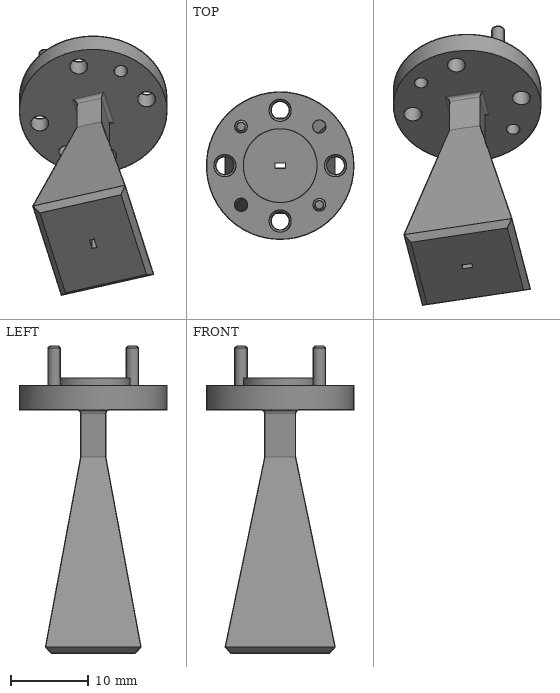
import cadquery as cq

total_height = 39.7
flange_top = 34.6
flange_thickness = 3.18
flange_bottom = flange_top - flange_thickness
neck_bottom = 25.33
bevel_height = 0.85

flange_diameter = 19.05
boss_diameter = 9.53
boss_height = 0.95

bolt_circle_radius = 7.15
screw_hole_diameter = 2.3
screw_hole_chamfer = 0.28
pin_diameter = 1.63
pin_chamfer = 0.28
pin_hole_diameter = 1.7
screw_angles = (0, 90, 180, 270)
pin_angles = (135, 315)
pin_hole_angles = (45, 225)

neck_x = 4.0
neck_y = 3.25
neck_fillet = 0.48
horn_x = 14.2
horn_y = 12.35
bevel_inset = 0.75
waveguide_x = 1.3
waveguide_y = 0.65


def bolt_circle(plane_z, angle):
    """Workplane at the given height, centred on the bolt circle at an angle."""
    return (
        cq.Workplane("XY")
        .workplane(offset=plane_z)
        .polarArray(bolt_circle_radius, angle, 360, 1)
    )


def tapered_block(bottom_z, bottom_size, top_z, top_size):
    """Rectangular frustum between two heights."""
    return (
        cq.Workplane("XY")
        .workplane(offset=bottom_z)
        .rect(*bottom_size)
        .workplane(offset=top_z - bottom_z)
        .rect(*top_size)
        .loft(ruled=True)
    )


def make_flange():
    """Round flange with its boss and a fillet where the neck meets it."""
    flange = (
        cq.Workplane("XY")
        .workplane(offset=flange_bottom)
        .circle(flange_diameter / 2)
        .extrude(flange_thickness)
    )
    boss = (
        cq.Workplane("XY")
        .workplane(offset=flange_top)
        .circle(boss_diameter / 2)
        .extrude(boss_height)
    )
    neck = (
        cq.Workplane("XY")
        .workplane(offset=neck_bottom)
        .rect(neck_x, neck_y)
        .extrude(flange_bottom - neck_bottom)
    )
    root_edges = cq.selectors.BoxSelector(
        (-neck_x, -neck_y, flange_bottom - neck_fillet / 2),
        (neck_x, neck_y, flange_bottom + neck_fillet / 2),
    )
    filleted = flange.union(neck).edges("%LINE").edges(root_edges).fillet(neck_fillet)
    return filleted.union(boss)


def make_horn():
    """Flared pyramid with a bevelled rim."""
    rim_size = (horn_x - 2 * bevel_inset, horn_y - 2 * bevel_inset)
    widest_size = (horn_x, horn_y)
    flare = tapered_block(bevel_height, widest_size, neck_bottom, (neck_x, neck_y))
    bevel = tapered_block(0, rim_size, bevel_height, widest_size)
    return flare.union(bevel)


def make_pin(angle):
    """Alignment pin standing on the flange, chamfered at its tip."""
    return (
        bolt_circle(flange_top, angle)
        .circle(pin_diameter / 2)
        .extrude(total_height - flange_top)
        .faces(">Z")
        .chamfer(pin_chamfer)
    )


def make_flange_hole(angle, diameter):
    """Cutter for a plain hole through the flange."""
    return bolt_circle(flange_bottom, angle).circle(diameter / 2).extrude(flange_thickness)


def make_screw_hole(angle):
    """Cutter for a screw hole with a chamfered mouth on the top face."""
    mouth = (
        bolt_circle(flange_top, angle)
        .circle(screw_hole_diameter / 2 + screw_hole_chamfer)
        .extrude(-screw_hole_chamfer, taper=45)
    )
    return make_flange_hole(angle, screw_hole_diameter).union(mouth)


result = make_flange().union(make_horn())

for screw_angle in screw_angles:
    result = result.cut(make_screw_hole(screw_angle))

for pin_hole_angle in pin_hole_angles:
    result = result.cut(make_flange_hole(pin_hole_angle, pin_hole_diameter))

for pin_angle in pin_angles:
    result = result.union(make_pin(pin_angle))

waveguide = (
    cq.Workplane("XY")
    .rect(waveguide_x, waveguide_y)
    .extrude(total_height)
)
result = result.cut(waveguide)